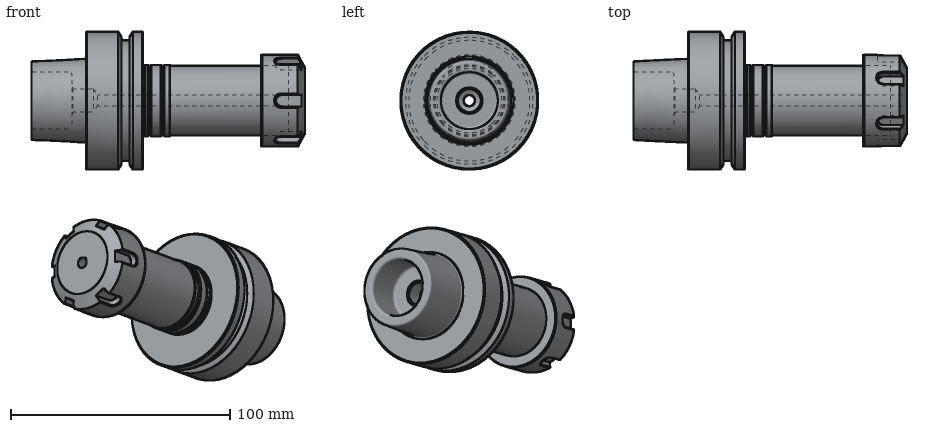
import cadquery as cq
import math


OVERALL_LENGTH = 125.0

TAPER_REAR_RADIUS = 18.0
TAPER_FRONT_RADIUS = 19.1
TAPER_LENGTH = 23.1
TAPER_REAR_FILLET = 1.0
TAPER_ROOT_FILLET = 1.0
TAPER_ROOT_RELIEF_DEPTH = 0.6

FLANGE_RADIUS = 31.5
FLANGE_REAR_X = 24.9
FLANGE_FRONT_X = 51.0
FLANGE_EDGE_CHAMFER = 0.5
GROOVE_RADIUS = 27.6
GROOVE_SHOULDER_RADIUS = 29.0
GROOVE_REAR_X = 41.2
GROOVE_FRONT_X = 44.8
GROOVE_BEVEL_LENGTH = 1.6
GROOVE_CORNER_FILLET = 0.4

SHANK_RADIUS = 16.0
BAND_RADIUS = 16.4
BAND_SPANS = [(51.9, 53.0), (54.9, 59.0), (60.9, 63.0)]
BAND_GROOVE_DEPTH = 0.8
BAND_STEP = BAND_RADIUS - SHANK_RADIUS
SHANK_FRONT_X = 117.2

BORE_RADIUS = 13.0
BORE_DEPTH = 18.5
BORE_FILLET = 1.2
RECESS_RADIUS = 6.0
RECESS_DEPTH = 0.6
TUBE_HOLE_RADIUS = 5.2
TUBE_HOLE_DEPTH = 10.0
DRILL_POINT_ANGLE = 118.0
COOLANT_HOLE_RADIUS = 2.5

NUT_RADIUS = 21.0
NUT_REAR_X = 104.8
NUT_REAR_CHAMFER_LENGTH = 0.8
NUT_REAR_CHAMFER_HEIGHT = 0.2
NUT_BEVEL_X = 121.5
NUT_FACE_RADIUS = 14.8
NUT_EDGE_BREAK = 0.4

SLOT_COUNT = 6
SLOT_FLOOR_WIDTH = 5.1
SLOT_FLOOR_RADIUS = 17.8
SLOT_FLOOR_REAR_X = 111.6
SLOT_DRAFT_ANGLE = 7.0
SLOT_EDGE_CHAMFER = 0.4
SLOT_CLEARANCE = 1.2
RIM_TOLERANCE = 0.1


def revolve_about_x(profile):
    """Turn a closed (x, radius) profile a full circle about the X axis."""
    return profile.close().revolve(360, (0, 0, 0), (1, 0, 0))


def cylinder(radius, start_x, end_x):
    return cq.Workplane("YZ").workplane(offset=start_x).circle(radius).extrude(end_x - start_x)


def make_taper():
    """Taper and root cylinder, reaching to the floor of the relief in the flange."""
    profile = (
        cq.Workplane("XY")
        .lineTo(0, TAPER_REAR_RADIUS)
        .lineTo(TAPER_LENGTH, TAPER_FRONT_RADIUS)
        .lineTo(FLANGE_REAR_X + TAPER_ROOT_RELIEF_DEPTH, TAPER_FRONT_RADIUS)
        .lineTo(FLANGE_REAR_X + TAPER_ROOT_RELIEF_DEPTH, 0)
    )
    return revolve_about_x(profile).faces("<X").edges().fillet(TAPER_REAR_FILLET)


def make_root_relief():
    """Ring recess in the rear flange face whose floor rises in a fillet from the taper root."""
    floor_x = FLANGE_REAR_X + TAPER_ROOT_RELIEF_DEPTH
    fillet_start_x = floor_x - TAPER_ROOT_FILLET
    outer_radius = TAPER_FRONT_RADIUS + TAPER_ROOT_FILLET
    fillet_drop = TAPER_ROOT_FILLET * (1 - math.sqrt(0.5))
    profile = (
        cq.Workplane("XY")
        .moveTo(fillet_start_x, outer_radius)
        .lineTo(fillet_start_x, TAPER_FRONT_RADIUS)
        .threePointArc(
            (floor_x - fillet_drop, TAPER_FRONT_RADIUS + fillet_drop),
            (floor_x, outer_radius),
        )
    )
    return revolve_about_x(profile)


def make_flange():
    flange = cylinder(FLANGE_RADIUS, FLANGE_REAR_X, FLANGE_FRONT_X)
    flange = flange.faces("<X or >X").edges().chamfer(FLANGE_EDGE_CHAMFER)

    groove_profile = (
        cq.Workplane("XY")
        .moveTo(GROOVE_REAR_X - GROOVE_BEVEL_LENGTH, FLANGE_RADIUS)
        .lineTo(GROOVE_REAR_X, GROOVE_SHOULDER_RADIUS)
        .lineTo(GROOVE_REAR_X, GROOVE_RADIUS)
        .lineTo(GROOVE_FRONT_X, GROOVE_RADIUS)
        .lineTo(GROOVE_FRONT_X, GROOVE_SHOULDER_RADIUS)
        .lineTo(GROOVE_FRONT_X + GROOVE_BEVEL_LENGTH, FLANGE_RADIUS)
    )
    groove = revolve_about_x(groove_profile)
    floor_edges = cq.selectors.RadiusNthSelector(0)
    return flange.cut(groove.edges(floor_edges).fillet(GROOVE_CORNER_FILLET))


def make_shank():
    first_band_x = BAND_SPANS[0][0]
    last_band_x = BAND_SPANS[-1][1]
    groove_floor_radius = BAND_RADIUS - BAND_GROOVE_DEPTH

    profile = (
        cq.Workplane("XY")
        .moveTo(FLANGE_FRONT_X, 0)
        .lineTo(FLANGE_FRONT_X, SHANK_RADIUS)
        .lineTo(first_band_x - BAND_STEP, SHANK_RADIUS)
        .lineTo(first_band_x, BAND_RADIUS)
    )
    for (_, groove_start), (groove_end, _) in zip(BAND_SPANS, BAND_SPANS[1:]):
        profile = (
            profile.lineTo(groove_start, BAND_RADIUS)
            .lineTo(groove_start + BAND_GROOVE_DEPTH, groove_floor_radius)
            .lineTo(groove_end - BAND_GROOVE_DEPTH, groove_floor_radius)
            .lineTo(groove_end, BAND_RADIUS)
        )
    profile = (
        profile.lineTo(last_band_x, BAND_RADIUS)
        .lineTo(last_band_x + BAND_STEP, SHANK_RADIUS)
        .lineTo(SHANK_FRONT_X, SHANK_RADIUS)
        .lineTo(SHANK_FRONT_X, 0)
    )
    return revolve_about_x(profile)


def make_main_bore():
    """Wide rear bore, rounded at its floor and flared by a fillet at its mouth."""
    mouth_offset = BORE_FILLET * (1 - math.sqrt(0.5))
    profile = (
        cq.Workplane("XY")
        .lineTo(0, BORE_RADIUS + BORE_FILLET)
        .threePointArc((mouth_offset, BORE_RADIUS + mouth_offset), (BORE_FILLET, BORE_RADIUS))
        .lineTo(BORE_DEPTH, BORE_RADIUS)
        .lineTo(BORE_DEPTH, 0)
    )
    return revolve_about_x(profile).faces(">X").edges().fillet(BORE_FILLET)


def make_coolant_hole():
    """Stepped hole from the bore floor: recess, drilled hole with a drill point, through hole."""
    recess_floor_x = BORE_DEPTH + RECESS_DEPTH
    cone_start_x = BORE_DEPTH + TUBE_HOLE_DEPTH
    cone_slope = math.tan(math.radians(DRILL_POINT_ANGLE / 2))
    cone_end_x = cone_start_x + (TUBE_HOLE_RADIUS - COOLANT_HOLE_RADIUS) / cone_slope
    profile = (
        cq.Workplane("XY")
        .moveTo(BORE_DEPTH, 0)
        .lineTo(BORE_DEPTH, RECESS_RADIUS)
        .lineTo(recess_floor_x, RECESS_RADIUS)
        .lineTo(recess_floor_x, TUBE_HOLE_RADIUS)
        .lineTo(cone_start_x, TUBE_HOLE_RADIUS)
        .lineTo(cone_end_x, COOLANT_HOLE_RADIUS)
        .lineTo(SHANK_FRONT_X, COOLANT_HOLE_RADIUS)
        .lineTo(SHANK_FRONT_X, 0)
    )
    return revolve_about_x(profile)


def make_holder():
    fillet_start_x = FLANGE_REAR_X + TAPER_ROOT_RELIEF_DEPTH - TAPER_ROOT_FILLET
    root_blank = cylinder(TAPER_FRONT_RADIUS + TAPER_ROOT_FILLET, fillet_start_x, FLANGE_FRONT_X)
    outside = make_taper().union(root_blank).union(make_flange()).union(make_shank())
    outside = outside.cut(make_root_relief())
    return outside.cut(make_main_bore()).cut(make_coolant_hole())


def make_nut_blank():
    profile = (
        cq.Workplane("XY")
        .moveTo(NUT_REAR_X, 0)
        .lineTo(NUT_REAR_X, NUT_RADIUS - NUT_REAR_CHAMFER_HEIGHT)
        .lineTo(NUT_REAR_X + NUT_REAR_CHAMFER_LENGTH, NUT_RADIUS)
        .lineTo(NUT_BEVEL_X, NUT_RADIUS)
        .lineTo(NUT_BEVEL_X + NUT_EDGE_BREAK, NUT_RADIUS - NUT_EDGE_BREAK)
        .lineTo(OVERALL_LENGTH, NUT_FACE_RADIUS)
        .lineTo(OVERALL_LENGTH, 0)
    )
    return revolve_about_x(profile)


def make_slot_cutter():
    """Flat-floored slot on the -Y side, widening outward, round at its rear and open at the front."""
    half_width = SLOT_FLOOR_WIDTH / 2
    arc_center_x = SLOT_FLOOR_REAR_X + half_width
    height = NUT_RADIUS - SLOT_FLOOR_RADIUS + SLOT_CLEARANCE
    return (
        cq.Workplane("XZ", origin=(0, -SLOT_FLOOR_RADIUS, 0))
        .moveTo(OVERALL_LENGTH, half_width)
        .lineTo(arc_center_x, half_width)
        .threePointArc((SLOT_FLOOR_REAR_X, 0), (arc_center_x, -half_width))
        .lineTo(OVERALL_LENGTH, -half_width)
        .close()
        .extrude(height, taper=-SLOT_DRAFT_ANGLE)
    )


def chamfer_slot_rims(nut):
    """Break the edges where the slots open into the cylindrical outside of the nut."""
    slot_mouth_rear_x = SLOT_FLOOR_REAR_X - SLOT_FLOOR_WIDTH / 2
    rim_edges = []
    for edge in nut.edges().vals():
        middle = edge.positionAt(0.5)
        on_outside = math.hypot(middle.y, middle.z) > NUT_RADIUS - RIM_TOLERANCE
        along_slot = slot_mouth_rear_x < middle.x < NUT_BEVEL_X - RIM_TOLERANCE
        if on_outside and along_slot:
            rim_edges.append(edge)
    return nut.newObject(rim_edges).chamfer(SLOT_EDGE_CHAMFER)


def make_nut():
    nut = make_nut_blank()
    slot = make_slot_cutter()
    for index in range(SLOT_COUNT):
        nut = nut.cut(slot.rotate((0, 0, 0), (1, 0, 0), index * 360 / SLOT_COUNT))
    nut = chamfer_slot_rims(nut)
    shank_seat = cylinder(SHANK_RADIUS, NUT_REAR_X, SHANK_FRONT_X)
    front_hole = cylinder(COOLANT_HOLE_RADIUS, SHANK_FRONT_X, OVERALL_LENGTH)
    return nut.cut(shank_seat).cut(front_hole)


holder = make_holder()
nut = make_nut()

result = cq.Compound.makeCompound([holder.val(), nut.val()])